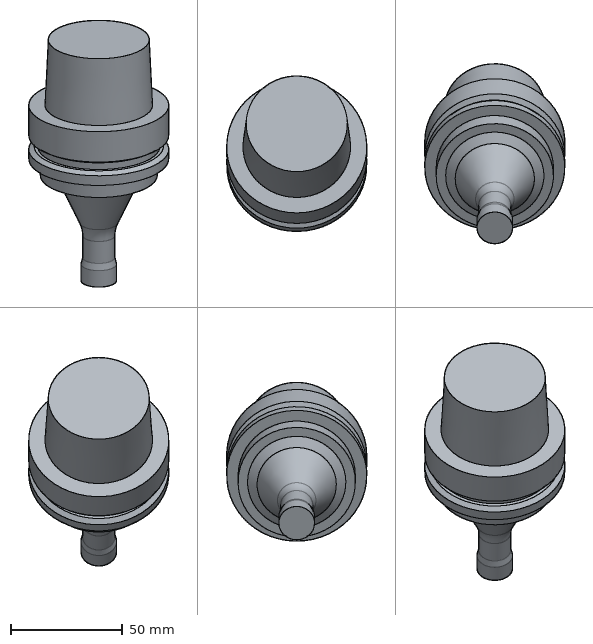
import cadquery as cq
import math

total_length = 117.0
nose_length = 8.1
neck_bottom = 11.2
neck_top = 21.9
cone_top = 48.2
collar_bottom = 51.1
flange_bottom = 59.1
flange_top = 85.2
lip_height = 4.7
groove_bottom_gap = 6.1
groove_width = 3.9

nose_radius = 16.0 / 2
neck_radius = 14.5 / 2
cone_top_radius = 35.6 / 2
bevel_top_radius = 44.1 / 2
collar_radius = 52.6 / 2
flange_radius = 63.0 / 2
groove_radius = 55.0 / 2
shank_base_radius = 48.3 / 2
shank_top_radius = 45.4 / 2

cone_angle = math.radians(24.5)
blend_radius = 15.2
blend_middle = (
    neck_radius + blend_radius * (1 - math.cos(cone_angle / 2)),
    neck_top + blend_radius * math.sin(cone_angle / 2),
)
blend_end = (
    neck_radius + blend_radius * (1 - math.cos(cone_angle)),
    neck_top + blend_radius * math.sin(cone_angle),
)

lip_top = flange_bottom + lip_height
groove_bottom = flange_bottom + groove_bottom_gap
groove_top = groove_bottom + groove_width
chamfer_height = groove_bottom - lip_top
chamfer_angle = math.radians(30)
chamfer_radius = flange_radius - chamfer_height / math.tan(chamfer_angle)

profile = (
    cq.Workplane("XZ")
    .moveTo(0, 0)
    .lineTo(nose_radius, 0)
    .lineTo(nose_radius, nose_length)
    .lineTo(neck_radius, neck_bottom)
    .lineTo(neck_radius, neck_top)
    .threePointArc(blend_middle, blend_end)
    .lineTo(cone_top_radius, cone_top)
    .lineTo(bevel_top_radius, collar_bottom)
    .lineTo(collar_radius, collar_bottom)
    .lineTo(collar_radius, flange_bottom)
    .lineTo(flange_radius, flange_bottom)
    .lineTo(flange_radius, lip_top)
    .lineTo(chamfer_radius, groove_bottom)
    .lineTo(groove_radius, groove_bottom)
    .lineTo(groove_radius, groove_top)
    .lineTo(chamfer_radius, groove_top)
    .lineTo(flange_radius, groove_top + chamfer_height)
    .lineTo(flange_radius, flange_top)
    .lineTo(shank_base_radius, flange_top)
    .lineTo(shank_top_radius, total_length)
    .lineTo(0, total_length)
    .close()
)

result = profile.revolve(360, (0, 0, 0), (0, 1, 0))